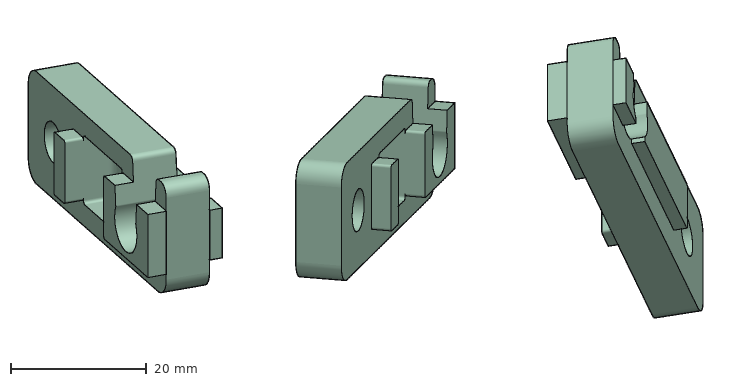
import cadquery as cq
import math

total_length = 50.0
plate_length = 49.9
plate_height = 18.0
plate_thickness = 7.0
plate_corner_radius = 3.0
plate_top = plate_height / 2

hole_x = 9.0
hole_diameter = 6.4

pad_start = 16.0
front_pad_height = 10.1
front_pad_depth = 3.0
rear_pad_height = 8.0
rear_pad_depth = 2.0
pad_corner_radius = 0.4

pocket_start = 20.0
pocket_length = 14.0
pocket_height = 11.0
pocket_depth = 5.0
pocket_floor_radius = 1.0
pocket_corner_radius = 0.5
pocket_end = pocket_start + pocket_length

slot_x = 42.0
slot_radius = 4.0
neck_half_width = 3.6
mouth_half_width = 4.3
neck_radius = 0.5
mouth_radius = 0.9
lip_outer_radius = 1.9
rear_gap_width = 4.85


def block(x_start, x_end, height, y_start, y_end):
    """Box centred on Z = 0 between the given X and Y limits."""
    return cq.Workplane("XY").box(
        x_end - x_start, y_end - y_start, height, centered=(False, False, True)
    ).translate((x_start, y_start, 0))


def pad(x_start, x_end, height, y_start, y_end):
    """Raised block with rounded left-hand corners."""
    return block(x_start, x_end, height, y_start, y_end).edges("|Y and <X").fillet(pad_corner_radius)


def make_plate():
    plate = block(0, plate_length, plate_height, 0, plate_thickness)
    plate = plate.edges("|Y and (<X or <Z)").fillet(plate_corner_radius)
    return plate.edges("|Y and >X and >Z").fillet(lip_outer_radius)


def make_front_pads():
    left = block(pad_start, pocket_start, front_pad_height, -front_pad_depth, 0)
    left = left.edges("|Y").fillet(pad_corner_radius)
    right = pad(pocket_end, total_length, front_pad_height, -front_pad_depth, 0)
    return left.union(right)


def make_rear_pad():
    rear_face = plate_thickness + rear_pad_depth
    rear = pad(pad_start, total_length, rear_pad_height, plate_thickness, rear_face)
    gap_start = slot_x - rear_gap_width / 2
    gap = block(gap_start, gap_start + rear_gap_width, rear_pad_height, plate_thickness, rear_face)
    return rear.cut(gap)


def make_pocket():
    pocket = block(pocket_start, pocket_end, pocket_height, 0, pocket_depth)
    rounded_corners = pocket.edges("|Y").fillet(pocket_corner_radius)
    rounded_floor = pocket.faces(">Y").edges().fillet(pocket_floor_radius)
    return rounded_corners.intersect(rounded_floor)


def make_slot():
    """Round seat below a neck that widens towards the mouth."""
    joint_z = math.sqrt(slot_radius**2 - neck_half_width**2)
    slot_start = -front_pad_depth
    slot_depth = front_pad_depth + plate_thickness + rear_pad_depth
    profile = (
        cq.Workplane("XZ", origin=(slot_x, slot_start, 0))
        .moveTo(mouth_half_width, plate_top)
        .lineTo(neck_half_width, joint_z)
        .threePointArc((0, -slot_radius), (-neck_half_width, joint_z))
        .lineTo(-mouth_half_width, plate_top)
        .close()
    )
    neck_edges = cq.selectors.BoxSelector(
        (slot_x - slot_radius, slot_start, joint_z - neck_radius),
        (slot_x + slot_radius, slot_start + slot_depth, joint_z + neck_radius),
    )
    return profile.extrude(-slot_depth).edges("|Y").edges(neck_edges).fillet(neck_radius)


def round_mouth(plate):
    """Round the two top edges where the slot opens."""
    reach = mouth_half_width + mouth_radius / 2
    mouth_edges = cq.selectors.BoxSelector(
        (slot_x - reach, 0, plate_top - mouth_radius / 2),
        (slot_x + reach, plate_thickness, plate_top + mouth_radius / 2),
    )
    return plate.edges("|Y").edges(mouth_edges).fillet(mouth_radius)


def make_hole():
    return cq.Workplane("XZ").center(hole_x, 0).circle(hole_diameter / 2).extrude(-plate_thickness)


slot = make_slot()
slotted_plate = round_mouth(make_plate().cut(slot))
pads = make_front_pads().union(make_rear_pad()).cut(slot)
result = slotted_plate.union(pads).cut(make_pocket()).cut(make_hole())